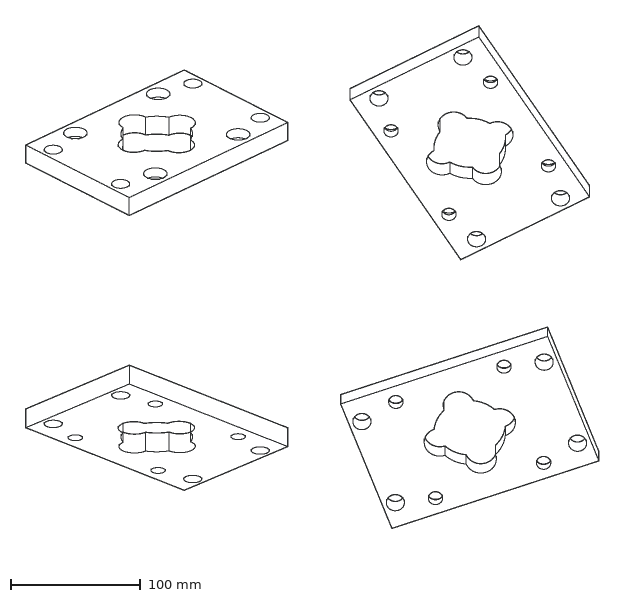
import cadquery as cq

width = 115.0
length = 170.0
thickness = 16.0

corner_hole_diameter = 14.0
corner_hole_x = 37.4
corner_hole_y = 74.8

bolt_hole_diameter = 11.0
counterbore_diameter = 18.0
counterbore_depth = 8.0
bolt_offset = 44.4

bore_diameter = 55.0
lobe_diameter = 24.0
lobe_offset = 24.6


def mirrored_points(x, y):
    """Four positions symmetric about both plate centre lines."""
    return [(x, y), (-x, y), (-x, -y), (x, -y)]


def central_opening():
    """Solid cutter for the bore and its lobes, through the full thickness."""
    lobe_centres = [(lobe_offset, 0), (-lobe_offset, 0), (0, lobe_offset), (0, -lobe_offset)]
    bore = cq.Workplane("XY").circle(bore_diameter / 2).extrude(thickness)
    lobes = cq.Workplane("XY").pushPoints(lobe_centres).circle(lobe_diameter / 2).extrude(thickness)
    return bore.union(lobes)


plate = cq.Workplane("XY").box(width, length, thickness, centered=(True, True, False))

plate = (
    plate.faces(">Z").workplane(origin=(0, 0, thickness))
    .pushPoints(mirrored_points(corner_hole_x, corner_hole_y))
    .hole(corner_hole_diameter)
)

plate = (
    plate.faces(">Z").workplane(origin=(0, 0, thickness))
    .pushPoints(mirrored_points(bolt_offset, bolt_offset))
    .cboreHole(bolt_hole_diameter, counterbore_diameter, counterbore_depth)
)

result = plate.cut(central_opening())